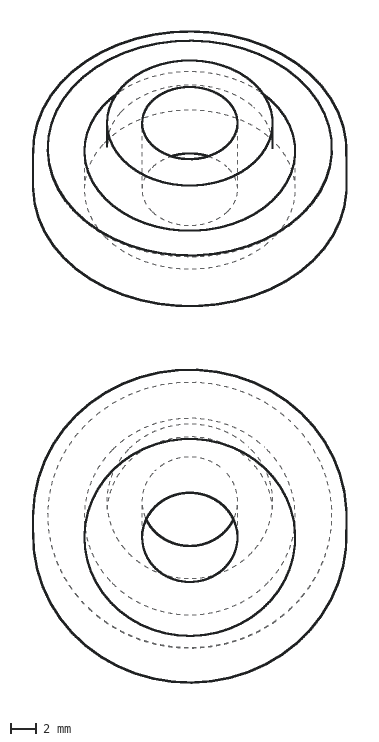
import cadquery as cq
import math

outer_radius = 12.35
ring_height = 5.0
total_height = 8.0
bore_radius = 3.75

rim_edge_fillet = 0.35
rim_inner_radius = 11.2
shield_depth = 0.3
recess_fillet = 0.185
bevel_width = 0.25

inner_ring_radius = 8.3
inner_ring_depth = 0.37
collar_radius = 6.52
collar_fillet = 0.7

shield_z = ring_height - shield_depth
inner_ring_z = ring_height - inner_ring_depth
DIAGONAL = math.sqrt(0.5)


def make_outer_ring():
    """Ring with rounded outer edges, a recessed face and a bevel sloping down to the inner ring."""
    rim_inset = rim_edge_fillet * (1 - DIAGONAL)
    recess_inset = recess_fillet * (1 - DIAGONAL)
    profile = (
        cq.Workplane("XZ")
        .moveTo(inner_ring_radius, 0)
        .lineTo(outer_radius - rim_edge_fillet, 0)
        .threePointArc((outer_radius - rim_inset, rim_inset), (outer_radius, rim_edge_fillet))
        .lineTo(outer_radius, ring_height - rim_edge_fillet)
        .threePointArc(
            (outer_radius - rim_inset, ring_height - rim_inset),
            (outer_radius - rim_edge_fillet, ring_height),
        )
        .lineTo(rim_inner_radius, ring_height)
        .lineTo(rim_inner_radius, shield_z + recess_fillet)
        .threePointArc(
            (rim_inner_radius - recess_inset, shield_z + recess_inset),
            (rim_inner_radius - recess_fillet, shield_z),
        )
        .lineTo(inner_ring_radius + bevel_width, shield_z)
        .lineTo(inner_ring_radius, inner_ring_z)
        .close()
    )
    return profile.revolve()


def make_inner_ring():
    """Bored ring whose raised collar flares into the ring face through a concave fillet."""
    collar_inset = collar_fillet * (1 - DIAGONAL)
    profile = (
        cq.Workplane("XZ")
        .moveTo(bore_radius, 0)
        .lineTo(inner_ring_radius, 0)
        .lineTo(inner_ring_radius, inner_ring_z)
        .lineTo(collar_radius + collar_fillet, inner_ring_z)
        .threePointArc(
            (collar_radius + collar_inset, inner_ring_z + collar_inset),
            (collar_radius, inner_ring_z + collar_fillet),
        )
        .lineTo(collar_radius, total_height)
        .lineTo(bore_radius, total_height)
        .close()
    )
    return profile.revolve()


outer_ring = make_outer_ring()
inner_ring = make_inner_ring()

result = cq.Compound.makeCompound([outer_ring.val(), inner_ring.val()])